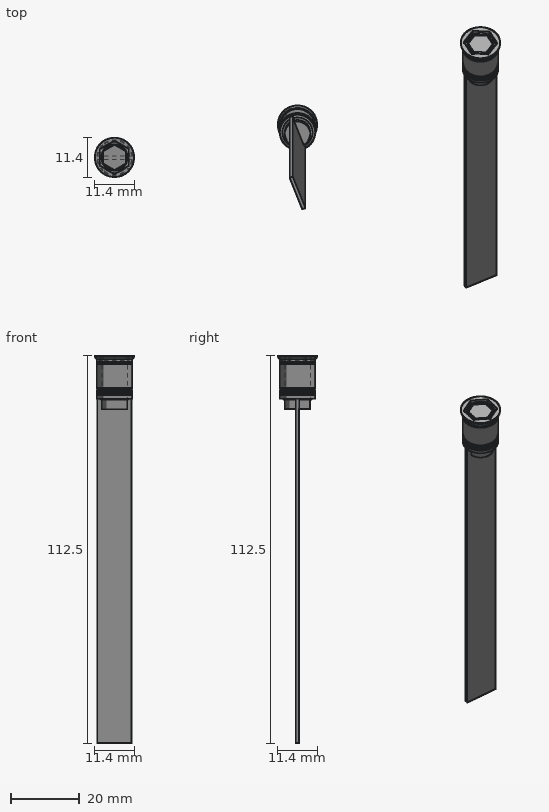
import cadquery as cq
import math

total_height = 112.5
shoulder_depth = 12.5
plug_end_depth = 15.5

flange_radius = 5.7
flange_thickness = 0.3
flange_cone_depth = 1.0
barrel_radius = 5.2
groove_start_depth = 1.8
v_height = 0.7
v_half_height = v_height / 2
v_groove_radius = 5.0
barrel_chamfer_depth = 9.3
barrel_chamfer_height = 0.5
ring_root_radius = 5.0
ring_count = 2
boss_top_radius = 4.4
boss_height = 0.3

socket_flats = 8.4
socket_depth = 1.4

plug_radius = 3.7
head_radius = 3.8
head_top_depth = 0.3
recess_flats = 6.4
recess_depth = 0.9

strip_width = 10.0
strip_thickness = 1.0

shoulder_z = total_height - shoulder_depth


def hex_prism(across_flats, top_depth, bottom_depth):
    """Hexagonal prism with corners on the Y axis."""
    corner_diameter = across_flats / math.cos(math.radians(30))
    return (
        cq.Workplane("XY")
        .polygon(6, corner_diameter)
        .extrude(bottom_depth - top_depth)
        .rotate((0, 0, 0), (0, 0, 1), 90)
        .translate((0, 0, total_height - bottom_depth))
    )


def turned(profile):
    """Solid turned about Z from (radius, depth) points, closed along the axis."""
    points = [(radius, total_height - depth) for radius, depth in profile]
    return cq.Workplane("XZ").polyline(points).close().revolve(360, (0, 0), (0, 1))


def make_strip():
    """Flat strip ending against the underside of the barrel."""
    return cq.Workplane("XY").rect(strip_width, strip_thickness).extrude(shoulder_z)


def make_plug(strip):
    """Round plug seated on the socket floor, slotted at its lower end for the strip."""
    body = turned([
        (0, head_top_depth),
        (head_radius, head_top_depth),
        (head_radius, socket_depth),
        (plug_radius, socket_depth),
        (plug_radius, plug_end_depth),
        (0, plug_end_depth),
    ])
    recess = hex_prism(recess_flats, 0, recess_depth)
    return body.cut(recess).cut(strip)


def make_housing(strip):
    """Ringed barrel with a flange, a hexagonal socket and a bore for the plug."""
    profile = [
        (0, 0),
        (flange_radius, 0),
        (flange_radius, flange_thickness),
        (barrel_radius, flange_cone_depth),
        (barrel_radius, groove_start_depth),
        (v_groove_radius, groove_start_depth + v_half_height),
        (barrel_radius, groove_start_depth + v_height),
        (barrel_radius, barrel_chamfer_depth),
    ]
    rings_start_depth = barrel_chamfer_depth + barrel_chamfer_height
    for ring in range(ring_count):
        root_depth = rings_start_depth + ring * v_height
        profile.append((ring_root_radius, root_depth))
        profile.append((barrel_radius, root_depth + v_half_height))
    rings_end_depth = rings_start_depth + ring_count * v_height
    profile += [
        (ring_root_radius, rings_end_depth),
        (barrel_radius, rings_end_depth + v_half_height),
        (barrel_radius, shoulder_depth),
        (boss_top_radius, shoulder_depth),
        (plug_radius, shoulder_depth + boss_height),
        (0, shoulder_depth + boss_height),
    ]
    bore = (
        cq.Workplane("XY", origin=(0, 0, total_height - plug_end_depth))
        .circle(plug_radius)
        .extrude(plug_end_depth)
    )
    socket = hex_prism(socket_flats, 0, socket_depth)
    return turned(profile).cut(socket).cut(bore).cut(strip)


strip = make_strip()
plug = make_plug(strip)
housing = make_housing(strip)

result = cq.Compound.makeCompound([housing.solids().val(), plug.solids().val(), strip.val()])